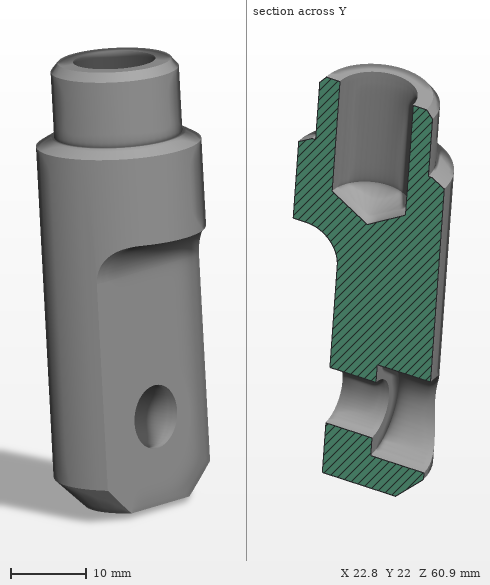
import cadquery as cq
import math

length = 60.0
tilt = 4
bevel_slope = math.tan(math.radians(30))

body_diameter = 22.0
body_radius = body_diameter / 2
neck_radius = 8.5
neck_length = 10.0
rim_chamfer_width = 1.0
rim_chamfer_height = 1.15
shoulder_inner_radius = 9.0
end_chamfer = 3.95

bore_radius = 5.5
bore_depth = 17.0
drill_tip_angle = 118

flat_offset = 4.0
flat_top = length - 23.0
flat_corner_radius = 5.0

cross_hole_height = length - 48.0
cross_hole_radius = 4.25
counterbore_radius = 7.0
counterbore_floor = -3.0


def turned_blank():
    """Stepped pin with a bevelled neck, a bevelled shoulder and a conical end."""
    shoulder = length - neck_length
    shoulder_drop = (body_radius - shoulder_inner_radius) * bevel_slope
    profile = [
        (0, 0),
        (body_radius - end_chamfer, 0),
        (body_radius, end_chamfer),
        (body_radius, shoulder - shoulder_drop),
        (shoulder_inner_radius, shoulder),
        (neck_radius, shoulder),
        (neck_radius, length - rim_chamfer_height),
        (neck_radius - rim_chamfer_width, length),
        (0, length),
    ]
    return cq.Workplane("XZ").polyline(profile).close().revolve(360, (0, 0), (0, 1))


def drilled_bore():
    """Blind hole from the top with a conical drill tip."""
    tip_depth = bore_radius / math.tan(math.radians(drill_tip_angle / 2))
    cone_start = length - bore_depth
    profile = [
        (0, length),
        (bore_radius, length),
        (bore_radius, cone_start),
        (0, cone_start - tip_depth),
    ]
    return cq.Workplane("XZ").polyline(profile).close().revolve(360, (0, 0), (0, 1))


def flat_cut():
    """Material beside the flat, with a rounded corner at its upper end."""
    cut_depth = 2 * body_radius
    return (
        cq.Workplane("XY")
        .box(cut_depth, 2 * cut_depth, flat_top, centered=(False, True, False))
        .translate((flat_offset, 0, 0))
        .edges("<X and >Z")
        .fillet(flat_corner_radius)
    )


def cross_hole():
    """Through hole along X, counterbored from the -X side."""
    start = -2 * body_radius
    plane = cq.Workplane("YZ", origin=(start, 0, cross_hole_height))
    through = plane.circle(cross_hole_radius).extrude(4 * body_radius)
    counterbore = plane.circle(counterbore_radius).extrude(counterbore_floor - start)
    return through.union(counterbore)


pin = turned_blank().cut(drilled_bore()).cut(flat_cut()).cut(cross_hole())
result = pin.rotate((0, 0, 0), (0, 1, 0), -tilt)